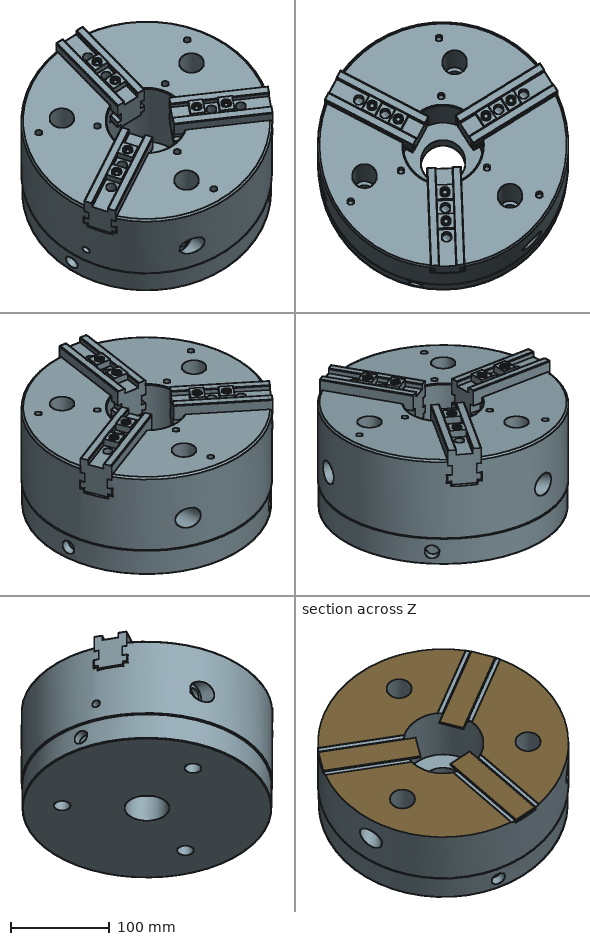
import cadquery as cq
import math


body_radius = 127.0
plate_radius = 126.2
plate_height = 29.7
face_height = 119.0
face_chamfer = 2.0
plate_chamfer = 0.8
bore_diameter = 81.0
bore_chamfer = 1.0
spindle_hole_diameter = 45.2

mount_radius = 85.9
mount_angles = (80, 200, 320)
mount_diameter = 17.0
mount_head_diameter = 25.0
face_hole_diameter = 6.9
face_hole_radii = (50.3, 110.2)
face_hole_angles = (90, 210, 330)
face_hole_depth = 12.7

key_hole_diameter = 24.0
key_hole_height = 65.3
open_key_hole_angles = (73.5, 193.5)
plugged_key_hole_angle = 313.5
key_hole_skew = 29.0
key_hole_depth = 38.0
plug_depth = 10.2
plug_socket_diameter = 15.0
plug_socket_depth = 5.0
grease_hole_diameter = 8.5
grease_hole_angle = 263.1
grease_hole_height = 49.0
grease_hole_depth = 22.9
plate_hole_diameter = 15.0
plate_hole_angles = (15, 135, 255)
plate_hole_height = 14.2
plate_hole_depth = 10.2

jaw_angles = (30, 150, 270)
jaw_inner_radius = 25.7
jaw_outer_radius = 126.5
jaw_half_width = 17.3
jaw_top = 130.8
jaw_edge_chamfer = 0.8
neck_half_width = 12.5
neck_top = 113.3
foot_top = 102.5
foot_bottom = 95.0
keel_half_width = 13.0
keel_bottom = 91.5

guide_half_width = 18.3
guide_bottom = 93.0
channel_half_width = 13.7
channel_bottom = 89.5

nut_channel_half_width = 8.5
nut_channel_floor = 125.2
nut_top = 133.0
nut_length = 14.7
jaw_pitch = 15.0
first_nut_radius = 51.3
nut_radii = (first_nut_radius, first_nut_radius + 2 * jaw_pitch)
jaw_hole_radii = (first_nut_radius + jaw_pitch, first_nut_radius + 3 * jaw_pitch)
jaw_hole_diameter = 10.2
jaw_hole_depth = 12.7
screw_seat_diameter = 10.0
screw_seat_depth = 2.3
screw_head_diameter = 8.5
screw_head_rise = 1.5
socket_diameter = 6.9
socket_depth = 1.3
socket_core_diameter = 5.0
socket_core_depth = 2.5

drill_point_angle = 118.0


def polar(radius, angle):
    return radius * math.cos(math.radians(angle)), radius * math.sin(math.radians(angle))


def cylinder(diameter, x, y, bottom, top):
    return cq.Workplane("XY", origin=(x, y, bottom)).circle(diameter / 2).extrude(top - bottom)


def drill(diameter, depth, start, direction):
    """Drilled hole with a conical end, starting at `start` and running along `direction`."""
    radius = diameter / 2
    tip = radius / math.tan(math.radians(drill_point_angle / 2))
    axis = cq.Vector(*direction)
    shank = cq.Solid.makeCylinder(radius, depth, cq.Vector(*start), axis)
    cone = cq.Solid.makeCone(radius, 0, tip, cq.Vector(*start) + axis.normalized() * depth, axis)
    return cq.Workplane(shank).union(cq.Workplane(cone))


def side_hole(diameter, depth, angle, height, skew=0.0):
    """Flat-ended hole entering the rim at `angle`, its axis turned by `skew` from radial."""
    run_in = diameter
    outward = cq.Vector(*polar(1, angle + skew), 0)
    entry = cq.Vector(*polar(body_radius, angle), height)
    start = entry + outward * run_in
    return cq.Workplane(cq.Solid.makeCylinder(diameter / 2, depth + run_in, start, outward * -1))


def key_hole(diameter, depth, angle):
    """Skewed hole in the drum at the height shared by the key holes."""
    return side_hole(diameter, depth, angle, key_hole_height, key_hole_skew)


def mirrored(profile):
    """Points of a half section (half width, height), followed by their mirror image."""
    return profile + [(-y, z) for y, z in reversed(profile)]


def chuck_body():
    """Back plate and drum, with the stepped bore through both."""
    plate = cq.Workplane("XY").circle(plate_radius).extrude(plate_height).edges().chamfer(plate_chamfer)
    drum = cq.Workplane("XY", origin=(0, 0, plate_height)).circle(body_radius)
    drum = drum.extrude(face_height - plate_height)
    drum = drum.faces("<Z").chamfer(plate_chamfer).faces(">Z").chamfer(face_chamfer)
    bore = cylinder(bore_diameter, 0, 0, plate_height, face_height)
    rim = cq.Workplane(
        cq.Solid.makeCone(
            bore_diameter / 2, bore_diameter / 2 + bore_chamfer, bore_chamfer,
            cq.Vector(0, 0, face_height - bore_chamfer),
        )
    )
    spindle_hole = cylinder(spindle_hole_diameter, 0, 0, 0, face_height)
    return plate.union(drum).cut(bore).cut(rim).cut(spindle_hole)


def cut_face_holes(body):
    for angle in mount_angles:
        x, y = polar(mount_radius, angle)
        body = body.cut(cylinder(mount_diameter, x, y, 0, face_height))
        body = body.cut(cylinder(mount_head_diameter, x, y, plate_height, face_height))
    for radius in face_hole_radii:
        for angle in face_hole_angles:
            start = (*polar(radius, angle), face_height)
            body = body.cut(drill(face_hole_diameter, face_hole_depth, start, (0, 0, -1)))
    return body


def cut_side_holes(body):
    for angle in open_key_hole_angles:
        body = body.cut(key_hole(key_hole_diameter, key_hole_depth, angle))
    body = body.cut(key_hole(key_hole_diameter, plug_depth, plugged_key_hole_angle))
    body = body.cut(key_hole(plug_socket_diameter, plug_depth + plug_socket_depth, plugged_key_hole_angle))
    for angle in plate_hole_angles:
        body = body.cut(side_hole(plate_hole_diameter, plate_hole_depth, angle, plate_hole_height))
    start = (*polar(body_radius, grease_hole_angle), grease_hole_height)
    inward = (*polar(-1, grease_hole_angle), 0)
    return body.cut(drill(grease_hole_diameter, grease_hole_depth, start, inward))


def jaw_guide():
    """Space for a jaw, from the chuck axis out through the rim."""
    half = [
        (jaw_half_width, face_height),
        (jaw_half_width, neck_top),
        (neck_half_width, neck_top),
        (neck_half_width, foot_top),
        (guide_half_width, foot_top),
        (guide_half_width, guide_bottom),
        (channel_half_width, guide_bottom),
        (channel_half_width, channel_bottom),
    ]
    return cq.Workplane("YZ").polyline(mirrored(half)).close().extrude(body_radius)


def jaw_nut(radius):
    """Nut standing in the jaw's channel, with the head of its socket screw sunk in the top."""
    nut = cq.Workplane("XY", origin=(radius, 0, nut_channel_floor))
    nut = nut.rect(nut_length, 2 * nut_channel_half_width).extrude(nut_top - nut_channel_floor)
    seat_floor = nut_top - screw_seat_depth
    head_top = seat_floor + screw_head_rise
    nut = nut.cut(cylinder(screw_seat_diameter, radius, 0, seat_floor, nut_top))
    nut = nut.union(cylinder(screw_head_diameter, radius, 0, seat_floor, head_top))
    nut = nut.cut(cylinder(socket_diameter, radius, 0, head_top - socket_depth, head_top))
    return nut.cut(cylinder(socket_core_diameter, radius, 0, head_top - socket_core_depth, head_top))


def jaw():
    """Jaw along +X with its tapped holes and nuts."""
    half = [
        (nut_channel_half_width, nut_channel_floor),
        (nut_channel_half_width, jaw_top - jaw_edge_chamfer),
        (nut_channel_half_width + jaw_edge_chamfer, jaw_top),
        (jaw_half_width - jaw_edge_chamfer, jaw_top),
        (jaw_half_width, jaw_top - jaw_edge_chamfer),
        (jaw_half_width, neck_top),
        (neck_half_width, neck_top),
        (neck_half_width, foot_top),
        (jaw_half_width, foot_top),
        (jaw_half_width, foot_bottom),
        (keel_half_width, foot_bottom),
        (keel_half_width, keel_bottom),
    ]
    section = cq.Workplane("YZ", origin=(jaw_inner_radius, 0, 0)).polyline(mirrored(half)).close()
    bar = section.extrude(jaw_outer_radius - jaw_inner_radius)
    for radius in jaw_hole_radii:
        bar = bar.cut(drill(jaw_hole_diameter, jaw_hole_depth, (radius, 0, nut_channel_floor), (0, 0, -1)))
    for radius in nut_radii:
        bar = bar.union(jaw_nut(radius))
    return bar


def turned(shape, angle):
    return shape.rotate((0, 0, 0), (0, 0, 1), angle)


chuck = cut_side_holes(cut_face_holes(chuck_body()))
guide = jaw_guide()
single_jaw = jaw()
for jaw_angle in jaw_angles:
    chuck = chuck.cut(turned(guide, jaw_angle))
for jaw_angle in jaw_angles:
    chuck = chuck.union(turned(single_jaw, jaw_angle))

result = chuck